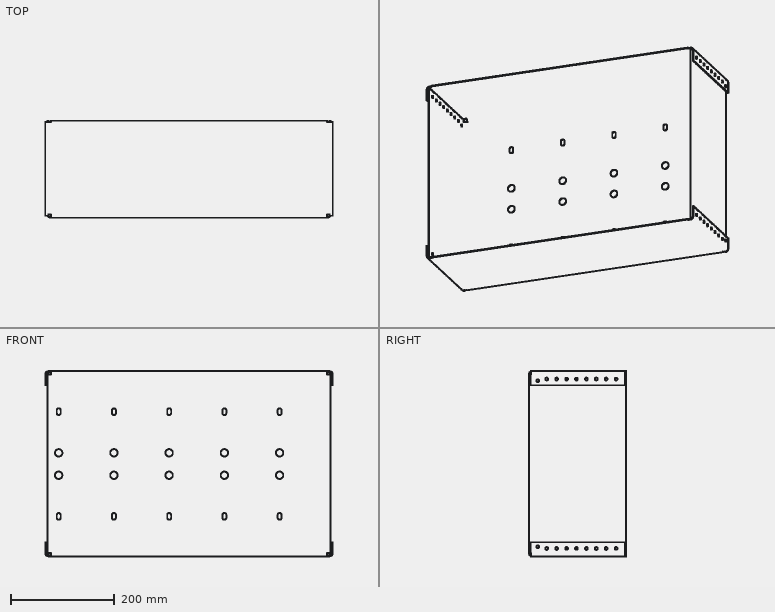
import cadquery as cq

length = 556.0
depth = 188.0
height = 358.5

thickness = 2.0
bend_radius = 6.5
inner_radius = bend_radius - thickness

tab_step = 4.5
side_wall_drop = 3.5
body_length = length - 2 * tab_step
front_y = -depth / 2
back_y = depth / 2
bend_end_y = front_y + bend_radius

long_bend_length = body_length - 2 * bend_radius
short_bend_length = height - 2 * bend_radius

tab_height = 28.0
tab_front_setback = 4.0
tab_back_setback = 2.0
tab_front_y = front_y + tab_front_setback
tab_back_y = back_y - tab_back_setback

column_count = 5
column_pitch = 107.0
first_column_x = -252.0
rows_middle_z = -0.5
round_hole_diameter = 14.0
round_hole_offset = 21.5
slot_length = 13.0
slot_width = 7.0
slot_offset = 101.0

tab_hole_diameter = 5.0
tab_hole_count = 8
first_tab_hole_y = 74.5
last_tab_hole_y = -59.5
tab_hole_pitch = (first_tab_hole_y - last_tab_hole_y) / (tab_hole_count - 1)
tab_hole_inset = 15.5
tab_hole_z = height / 2 - tab_hole_inset
end_hole_y = -77.0
end_hole_shift = 3.5
end_hole_z = tab_hole_z - end_hole_shift


def channel(width, leg, run):
    """U section centred on X: base outside at Y = 0, legs towards +Y, extruded along Z by run."""
    half = width / 2
    inner_half = half - thickness
    return (
        cq.Workplane("XY")
        .moveTo(-half + bend_radius, 0)
        .lineTo(half - bend_radius, 0)
        .radiusArc((half, bend_radius), -bend_radius)
        .lineTo(half, leg)
        .lineTo(inner_half, leg)
        .lineTo(inner_half, bend_radius)
        .radiusArc((half - bend_radius, thickness), inner_radius)
        .lineTo(-half + bend_radius, thickness)
        .radiusArc((-inner_half, bend_radius), inner_radius)
        .lineTo(-inner_half, leg)
        .lineTo(-half, leg)
        .lineTo(-half, bend_radius)
        .radiusArc((-half + bend_radius, 0), -bend_radius)
        .close()
        .extrude(run)
    )


def block(x_range, y_range, z_range):
    """Box between the given limits."""
    size = [high - low for low, high in (x_range, y_range, z_range)]
    corner = (x_range[0], y_range[0], z_range[0])
    return cq.Workplane("XY").box(*size, centered=False).translate(corner)


def front_and_sides():
    """Front panel with the side walls; the walls rise past the ends of their bends."""
    bent = channel(body_length, depth, short_bend_length)
    bent = bent.translate((0, front_y, -short_bend_length / 2))
    wall_top = height / 2 - side_wall_drop
    half = body_length / 2
    for x_range in ((-half, -half + thickness), (half - thickness, half)):
        bent = bent.union(block(x_range, (bend_end_y, back_y), (-wall_top, wall_top)))
    return bent


def top_and_bottom():
    """Top and bottom walls, bent from the front panel along its long edges."""
    bent = channel(height, depth, long_bend_length)
    bent = bent.rotate((0, 0, 0), (0, 1, 0), 90)
    return bent.translate((-long_bend_length / 2, front_y, 0))


def top_tabs():
    """Strip of the top wall with a tab folded down at each end."""
    folded = channel(length, tab_height, tab_back_y - tab_front_y)
    folded = folded.rotate((0, 0, 0), (1, 0, 0), -90)
    folded = folded.translate((0, tab_front_y, height / 2))
    half_relief = length / 2 - bend_radius
    relief = block(
        (-half_relief, half_relief),
        (tab_front_y, bend_end_y),
        (height / 2 - bend_radius, height / 2),
    )
    return folded.cut(relief)


def panel_holes():
    """Cutters for the columns of round holes and upright slots in the front panel."""
    columns = [first_column_x + i * column_pitch for i in range(column_count)]
    panel = cq.Workplane("XZ", origin=(0, bend_end_y, rows_middle_z))
    round_points = [(x, side * round_hole_offset) for x in columns for side in (-1, 1)]
    slot_points = [(x, side * slot_offset) for x in columns for side in (-1, 1)]
    round_holes = panel.pushPoints(round_points).circle(round_hole_diameter / 2).extrude(bend_radius)
    slots = panel.pushPoints(slot_points).slot2D(slot_length, slot_width, 90).extrude(bend_radius)
    return round_holes.union(slots)


def tab_holes():
    """Cutters running the full length through tabs and side walls."""
    upper = [(first_tab_hole_y - i * tab_hole_pitch, tab_hole_z) for i in range(tab_hole_count)]
    upper.append((end_hole_y, end_hole_z))
    lower = [(y, -z) for y, z in upper]
    return (
        cq.Workplane("YZ", origin=(-length / 2, 0, 0))
        .pushPoints(upper + lower)
        .circle(tab_hole_diameter / 2)
        .extrude(length)
    )


tabs = top_tabs()
result = (
    front_and_sides()
    .union(top_and_bottom())
    .union(tabs)
    .union(tabs.mirror("XY"))
    .cut(panel_holes())
    .cut(tab_holes())
)